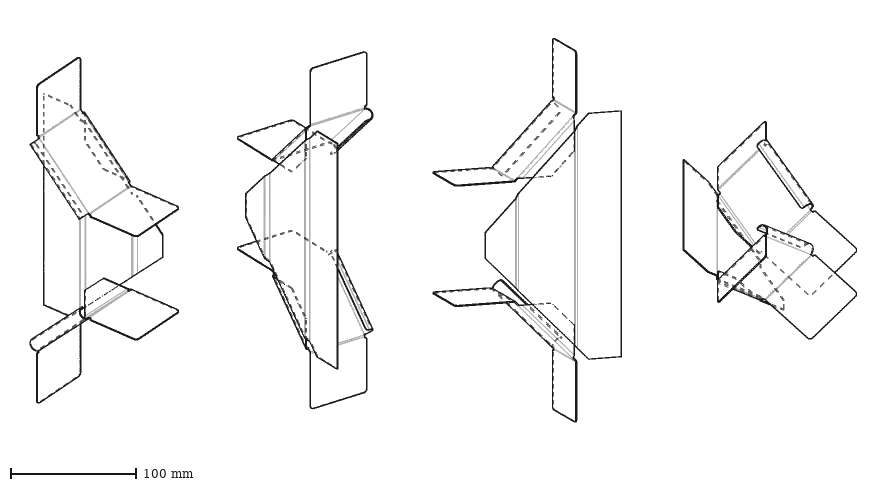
import cadquery as cq
import math

SHEET = 1.0

LENGTH = 140.0
DEPTH = 65.5
HEIGHT = 302.5

PLATE_HEIGHT = 200.2
PLATE_LENGTH = 117.0
PLATE_CORNER_X = 27.5
PANEL_STEP = 3 * SHEET
FIRST_JOG_X = 37.2
SECOND_JOG_X = 88.3
JOG_BEND_INNER = 0.3

TAB_X = 37.8
TAB_LENGTH = 50.2
TAB_WIDTH = 55.0
TAB_CORNER_RADIUS = 3.0
TAB_BEND_INNER = SHEET
RIM_LENGTH = 71.5
CURL_RADIUS = 5.5
LIP_HEIGHT = 2.7
LIP_CORNER_RADIUS = 2.5
RELIEF = 1.8
RELIEF_RADIUS = 1.5
FLANGE_WIDTH = 19.5
FLANGE_BEND_INNER = 1.5
FLANGE_END_INSET = 2.7

BACK_Y = PANEL_STEP + SHEET
FRONT_Y = BACK_Y - DEPTH
TAB_BACK_Y = -PANEL_STEP
FLANGE_BEND_OUTER = FLANGE_BEND_INNER + SHEET
TAB_FRONT_Y = TAB_BACK_Y - TAB_WIDTH
CURL_Y = FRONT_Y + CURL_RADIUS
WEB_TOP_Z = HEIGHT / 2 - TAB_LENGTH
WEB_END_X = LENGTH - TAB_LENGTH
WEB_RUN = WEB_END_X - TAB_X
TAB_Z = WEB_TOP_Z - WEB_RUN
WEB_LENGTH = WEB_RUN * math.sqrt(2)


def bent_sheet_outline(path, inner_radius):
    """Closed wire, in local XY, of a sheet whose mid-line follows path with rounded bends."""
    directions = []
    for start, end in zip(path, path[1:]):
        directions.append(math.atan2(end[1] - start[1], end[0] - start[0]))
    left_side = []
    right_side = []
    bends = []
    for i, (x, y) in enumerate(path):
        before = directions[max(i - 1, 0)]
        after = directions[min(i, len(directions) - 1)]
        turn = after - before
        normal = (before + after) / 2 + math.pi / 2
        reach = SHEET / 2 / math.cos(turn / 2)
        left = cq.Vector(x + reach * math.cos(normal), y + reach * math.sin(normal))
        right = cq.Vector(x - reach * math.cos(normal), y - reach * math.sin(normal))
        left_side.append(left)
        right_side.append(right)
        if turn:
            inside, outside = (left, right) if turn > 0 else (right, left)
            bends.append((inside, inner_radius))
            bends.append((outside, inner_radius + SHEET))
    outline = cq.Wire.makePolygon(left_side + right_side[::-1], close=True)
    for corner, radius in bends:
        vertex = min(outline.Vertices(), key=lambda v: (v.Center() - corner).Length)
        outline = outline.fillet2D(radius, [vertex])
    return outline


def bent_sheet(plane, path, inner_radius, width):
    """Solid of a bent sheet, its outline drawn on plane and extruded by width."""
    outline = bent_sheet_outline(path, inner_radius).moved(cq.Location(plane))
    return cq.Workplane(plane).add(outline).toPending().extrude(width)


def fillet_at(body, middle, radius):
    """Round the edge of body whose middle lies at the given point."""
    return body.edges(cq.NearestToPointSelector(middle)).fillet(radius)


def make_plate():
    """Twice-jogged plate, trimmed to an outline whose sides converge at 45 degrees."""
    first_y = SHEET / 2 - PANEL_STEP
    path = [
        (0, first_y),
        (FIRST_JOG_X, first_y),
        (FIRST_JOG_X + PANEL_STEP, first_y + PANEL_STEP),
        (SECOND_JOG_X, first_y + PANEL_STEP),
        (SECOND_JOG_X + PANEL_STEP, first_y + 2 * PANEL_STEP),
        (PLATE_LENGTH, first_y + 2 * PANEL_STEP),
    ]
    bottom = cq.Plane(origin=(0, 0, -PLATE_HEIGHT / 2))
    sheet = bent_sheet(bottom, path, JOG_BEND_INNER, PLATE_HEIGHT)
    corner_z = PLATE_HEIGHT / 2
    end_z = corner_z - (PLATE_LENGTH - PLATE_CORNER_X)
    outline = (
        cq.Workplane("XZ")
        .polyline([
            (0, -corner_z),
            (PLATE_CORNER_X, -corner_z),
            (PLATE_LENGTH, -end_z),
            (PLATE_LENGTH, end_z),
            (PLATE_CORNER_X, corner_z),
            (0, corner_z),
        ])
        .close()
        .extrude(DEPTH, both=True)
    )
    return sheet.intersect(outline)


def make_web_with_tabs():
    """Web and end tabs; in front of the curl's start the web is cut back to the tabs."""
    back = cq.Plane(origin=(0, TAB_BACK_Y, 0), xDir=(1, 0, 0), normal=(0, -1, 0))
    path = [
        (TAB_X, HEIGHT / 2),
        (TAB_X, WEB_TOP_Z),
        (WEB_END_X, TAB_Z),
        (LENGTH, TAB_Z),
    ]
    sheet = bent_sheet(back, path, TAB_BEND_INNER, TAB_WIDTH)
    relief = cq.Workplane("XY").box(
        WEB_RUN + 2 * RELIEF, TAB_WIDTH, WEB_RUN + 2 * RELIEF, centered=(False, False, False)
    )
    relief = relief.translate((TAB_X - RELIEF, CURL_Y - TAB_WIDTH, TAB_Z - RELIEF))
    sheet = sheet.cut(relief)
    for y in (TAB_BACK_Y, TAB_FRONT_Y):
        sheet = fillet_at(sheet, (TAB_X, y, HEIGHT / 2), TAB_CORNER_RADIUS)
        sheet = fillet_at(sheet, (LENGTH, y, TAB_Z), TAB_CORNER_RADIUS)
    sheet = fillet_at(sheet, (TAB_X, TAB_FRONT_Y, WEB_TOP_Z + RELIEF), RELIEF_RADIUS)
    return fillet_at(sheet, (WEB_END_X + RELIEF, TAB_FRONT_Y, TAB_Z), RELIEF_RADIUS)


def make_flange_and_rim():
    """Flange, web strip and curled rim, swept along the web, with the flange ends squared off."""
    inset = (WEB_LENGTH - RIM_LENGTH) / 2 / math.sqrt(2)
    section = cq.Plane(
        origin=(TAB_X + inset, 0, WEB_TOP_Z - inset), xDir=(-1, 0, -1), normal=(1, 0, -1)
    )
    outer = -SHEET / 2
    inner = SHEET / 2
    bend_y = -FLANGE_BEND_OUTER
    bend_x = outer + FLANGE_BEND_OUTER
    outer_mid = FLANGE_BEND_OUTER * math.sqrt(0.5)
    inner_mid = FLANGE_BEND_INNER * math.sqrt(0.5)
    curl_x = outer + CURL_RADIUS
    lip_x = outer + 2 * CURL_RADIUS
    lip_y = CURL_Y + LIP_HEIGHT
    strip = (
        cq.Workplane(section)
        .moveTo(FLANGE_WIDTH, 0)
        .lineTo(bend_x, 0)
        .threePointArc((bend_x - outer_mid, outer_mid + bend_y), (outer, bend_y))
        .lineTo(outer, CURL_Y)
        .threePointArc((curl_x, FRONT_Y), (lip_x, CURL_Y))
        .lineTo(lip_x, lip_y)
        .lineTo(lip_x - SHEET, lip_y)
        .lineTo(lip_x - SHEET, CURL_Y)
        .threePointArc((curl_x, FRONT_Y + SHEET), (inner, CURL_Y))
        .lineTo(inner, bend_y)
        .threePointArc((bend_x - inner_mid, inner_mid + bend_y), (bend_x, -SHEET))
        .lineTo(FLANGE_WIDTH, -SHEET)
        .close()
        .extrude(RIM_LENGTH)
    )
    for end in (0, RIM_LENGTH):
        tip = section.toWorldCoords((lip_x - SHEET / 2, lip_y, end))
        strip = fillet_at(strip, tip.toTuple(), LIP_CORNER_RADIUS)
    for width, height in ((TAB_X + FLANGE_END_INSET, HEIGHT), (LENGTH, TAB_Z + FLANGE_END_INSET)):
        trim = cq.Workplane("XY").box(width, PANEL_STEP, height, centered=(False, False, False))
        strip = strip.cut(trim.translate((0, TAB_BACK_Y, 0)))
    return strip


def make_bracket(is_upper):
    """Bracket for the plate's upper sloping side, or its mirror image for the lower one."""
    bracket = make_web_with_tabs().union(make_flange_and_rim())
    return bracket if is_upper else bracket.mirror("XY")


plate = make_plate()
brackets = [make_bracket(is_upper) for is_upper in (True, False)]

result = cq.Compound.makeCompound([plate.val(), *[bracket.val() for bracket in brackets]])